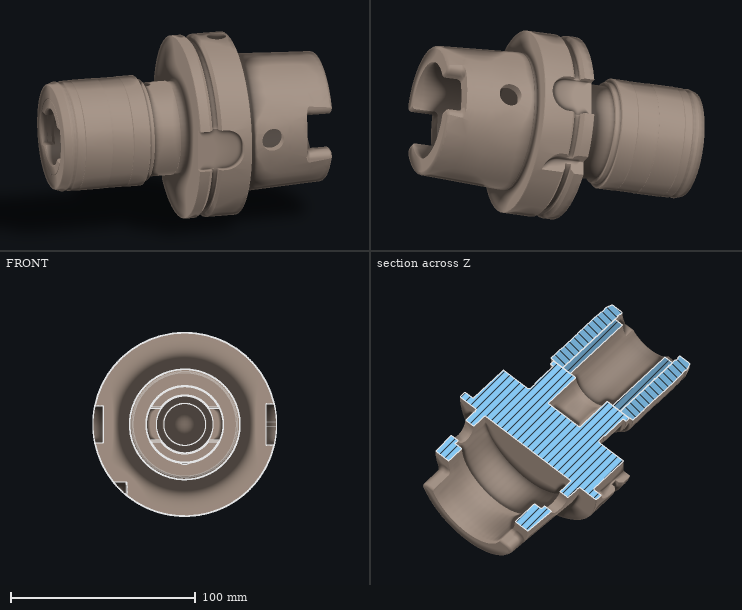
import cadquery as cq

taper_length = 49.9
taper_big_radius = 37.8
taper_rate = 0.05
taper_base = 2.8
relief_rear_y = 1.8
relief_front_y = 1.3
relief_radius = 37.5
taper_end_round = 1.6
cavity_radius = 26.5
chamber_radius = 31.5
chamber_rear_y = 24.0
cavity_floor = 0.0
cross_hole_radius = 6.1
cross_hole_y = 15.3

drive_slot_half_width = 10.0
drive_slot_flat = 32.4
drive_slot_edge_round = 4.0
drive_slot_floor_round = 2.2
shallow_slot_depth = 10.0
deep_slot_depth = 15.0

flange_radius = 49.99
flange_length = 29.0
flange_edge_chamfer = 0.3
groove_radius = 46.0
groove_rear_y = -18.1
groove_front_y = -21.6
groove_lip_depth = 1.8
groove_rear_lip_length = 1.5
groove_front_lip_length = 1.8

pocket_end_y = -4.3
pocket_width = 20.1
pocket_floor = 44.0
pocket_floor_round = 0.6
wide_pocket_width = 22.5
wide_pocket_corner = 10.0
notch_offset = 31.3

seat_radius = 5.4
seat_y = -6.7
seat_depth = 4.5
pilot_radius = 0.9
pilot_depth = 1.5

undercut_radius = 25.2
undercut_round = 1.6
neck_radius = 25.6
neck_start_y = -33.5
collar_radius = 27.9
collar_start_y = -48.7
shoulder_chamfer = 0.3
neck_hole_radius = 2.5
neck_hole_y = -46.5
bore_radius = 11.4
bore_depth = 22.5

overall_length = 149.9
nose_y = taper_length - overall_length
sleeve_start_y = -51.7
sleeve_radius = 30.1
sleeve_inset_radius = 30.0
seam_ys = [-61.2, -88.1]
seam_half_width = 0.3
seam_depth = 0.3
step_y = -73.2
ring_groove_y = -92.3
ring_groove_depth = 0.5
ring_groove_rear_slope = 0.7
ring_groove_floor_length = 1.2
ring_groove_front_slope = 1.3
nose_taper_y = -96.0
nose_taper_radius = 28.6
nose_round = 0.7
sleeve_bore_radius = 20.8
sleeve_bore_chamfer = 0.3
bore_groove_radius = 21.3
bore_groove_front = 1.8
bore_groove_length = 1.8
key_groove_radius = 3.0
key_groove_offset = 18.9
key_groove_length = 6.0

bush_bore_radius = 15.5
bush_bore_chamfer = 0.6
bush_rim_chamfer = 0.3
driver_slot_half_width = 8.5
driver_slot_depth = 6.0
driver_slot_chamfer = 0.9


def turned(profile):
    """Solid of revolution about Y from (radius, y) points."""
    return cq.Workplane("XY").polyline(profile).close().revolve(360, (0, 0), (0, 1))


def rod(radius, y_from, y_to, z=0.0):
    """Cylinder along Y."""
    return cq.Workplane("XZ", origin=(0, y_from, z)).circle(radius).extrude(y_from - y_to)


def holder_blank():
    """The holder's turned outside, with a rounded root where the neck meets the flange."""
    taper_end_radius = taper_big_radius - taper_rate * (taper_length - taper_base)
    lip_radius = flange_radius - groove_lip_depth
    front_y = -flange_length
    blank = turned([
        (0, taper_length),
        (taper_end_radius, taper_length),
        (taper_big_radius, taper_base),
        (taper_big_radius, relief_rear_y),
        (relief_radius, relief_rear_y),
        (relief_radius, relief_front_y),
        (taper_big_radius, relief_front_y),
        (taper_big_radius, 0),
        (flange_radius - flange_edge_chamfer, 0),
        (flange_radius, -flange_edge_chamfer),
        (flange_radius, groove_rear_y + groove_rear_lip_length),
        (lip_radius, groove_rear_y),
        (groove_radius, groove_rear_y),
        (groove_radius, groove_front_y),
        (lip_radius, groove_front_y),
        (flange_radius, groove_front_y - groove_front_lip_length),
        (flange_radius, front_y + flange_edge_chamfer),
        (flange_radius - flange_edge_chamfer, front_y),
        (undercut_radius, front_y),
        (undercut_radius, neck_start_y),
        (neck_radius - shoulder_chamfer, neck_start_y),
        (neck_radius, neck_start_y - shoulder_chamfer),
        (neck_radius, collar_start_y),
        (collar_radius - shoulder_chamfer, collar_start_y),
        (collar_radius, collar_start_y - shoulder_chamfer),
        (collar_radius, sleeve_start_y),
        (0, sleeve_start_y),
    ])
    root_half_box = undercut_radius + undercut_round / 2
    root = cq.selectors.BoxSelector(
        (-root_half_box, front_y - undercut_round / 2, -root_half_box),
        (root_half_box, front_y + undercut_round / 2, root_half_box),
        boundingbox=True,
    )
    return blank.edges(root).fillet(undercut_round)


def drive_slot(depth):
    """Cutter for one drive slot on the +X side, with flats beside it and a rounded floor."""
    half = drive_slot_half_width
    shoulder = half + drive_slot_edge_round
    inner = drive_slot_flat - drive_slot_edge_round
    outer = flange_radius
    cutter = (
        cq.Workplane("XZ", origin=(0, taper_length, 0))
        .moveTo(0, -half)
        .lineTo(inner, -half)
        .radiusArc((drive_slot_flat, -shoulder), drive_slot_edge_round)
        .lineTo(drive_slot_flat, -outer)
        .lineTo(outer, -outer)
        .lineTo(outer, outer)
        .lineTo(drive_slot_flat, outer)
        .lineTo(drive_slot_flat, shoulder)
        .radiusArc((inner, half), drive_slot_edge_round)
        .lineTo(0, half)
        .close()
        .extrude(depth)
    )
    return cutter.faces("<Y").edges("not >X").fillet(drive_slot_floor_round)


def flange_pocket(width, corner, floor, z_centre):
    """Cutter on the -X side, open to the front, whose rear corners are rounded."""
    half = width / 2
    bend_y = pocket_end_y - corner
    flat_half = half - corner
    outline = (
        cq.Workplane("YZ", origin=(-floor, 0, z_centre))
        .moveTo(-flange_length, -half)
        .lineTo(bend_y, -half)
        .tangentArcPoint((pocket_end_y, -flat_half), relative=False)
    )
    if flat_half > 0:
        outline = outline.lineTo(pocket_end_y, flat_half)
    return (
        outline.tangentArcPoint((bend_y, half), relative=False)
        .lineTo(-flange_length, half)
        .close()
        .extrude(floor - flange_radius)
    )


def rounded_floor(pocket):
    """The pocket cutter with its floor rounded into its walls."""
    return pocket.faces(">X").edges("not <Y").fillet(pocket_floor_round)


def make_holder():
    holder = holder_blank()

    shallow_slot = drive_slot(shallow_slot_depth).mirror("YZ")
    holder = holder.cut(shallow_slot).cut(drive_slot(deep_slot_depth))
    holder = holder.faces(">Y").edges().fillet(taper_end_round)

    cross_hole = (
        cq.Workplane("YZ").center(cross_hole_y, 0).circle(cross_hole_radius).extrude(flange_radius, both=True)
    )
    holder = holder.cut(rod(cavity_radius, taper_length, cavity_floor))
    holder = holder.cut(rod(chamber_radius, chamber_rear_y, cavity_floor)).cut(cross_hole)

    pocket = rounded_floor(flange_pocket(pocket_width, pocket_width / 2, pocket_floor, 0))
    wide_pocket = flange_pocket(wide_pocket_width, wide_pocket_corner, pocket_floor, 0).mirror("YZ")
    notch_centre = -notch_offset - pocket_width / 2
    notch = rounded_floor(flange_pocket(pocket_width, pocket_width / 2, notch_offset, notch_centre))
    holder = holder.cut(pocket).cut(wide_pocket).cut(notch)

    seat_floor = flange_radius - seat_depth
    seat = cq.Workplane("XY", origin=(0, seat_y, seat_floor)).circle(seat_radius).extrude(seat_depth)
    pilot = cq.Workplane("XY", origin=(0, seat_y, seat_floor)).circle(pilot_radius).extrude(-pilot_depth)
    holder = holder.cut(seat).cut(pilot)

    holder = holder.cut(rod(bore_radius, sleeve_start_y + bore_depth, sleeve_start_y))
    neck_hole = cq.Workplane("XY", origin=(0, neck_hole_y, 0)).circle(neck_hole_radius).extrude(collar_radius)
    return holder.cut(neck_hole)


def make_sleeve():
    groove_rear_y = ring_groove_y - ring_groove_rear_slope
    ring_floor_front_y = groove_rear_y - ring_groove_floor_length
    bore_groove_front_y = nose_y + bore_groove_front
    bore_groove_rear_y = bore_groove_front_y + bore_groove_length
    groove_floor = sleeve_inset_radius - ring_groove_depth
    sleeve = turned([
        (sleeve_bore_radius, sleeve_start_y),
        (sleeve_radius - shoulder_chamfer, sleeve_start_y),
        (sleeve_radius, sleeve_start_y - shoulder_chamfer),
        (sleeve_radius, seam_ys[0]),
        (sleeve_inset_radius, seam_ys[0]),
        (sleeve_inset_radius, step_y),
        (sleeve_radius, step_y),
        (sleeve_radius, seam_ys[1]),
        (sleeve_inset_radius, seam_ys[1]),
        (sleeve_inset_radius, ring_groove_y),
        (groove_floor, groove_rear_y),
        (groove_floor, ring_floor_front_y),
        (sleeve_inset_radius, ring_floor_front_y - ring_groove_front_slope),
        (sleeve_inset_radius, nose_taper_y),
        (nose_taper_radius, nose_y),
        (sleeve_bore_radius + sleeve_bore_chamfer, nose_y),
        (sleeve_bore_radius, nose_y + sleeve_bore_chamfer),
        (sleeve_bore_radius, bore_groove_front_y),
        (bore_groove_radius, bore_groove_front_y),
        (bore_groove_radius, bore_groove_rear_y),
        (sleeve_bore_radius, bore_groove_rear_y),
    ])
    sleeve = sleeve.faces("<Y").edges("%CIRCLE").edges(cq.selectors.RadiusNthSelector(-1)).fillet(nose_round)
    for seam_y in seam_ys:
        seam = turned([
            (sleeve_radius - seam_depth, seam_y),
            (sleeve_radius, seam_y + seam_half_width),
            (sleeve_radius, seam_y - seam_half_width),
        ])
        sleeve = sleeve.cut(seam)
    key_groove = rod(key_groove_radius, nose_y + key_groove_length, nose_y, -key_groove_offset)
    return sleeve.cut(key_groove)


def make_bush():
    bush = turned([
        (bush_bore_radius, sleeve_start_y),
        (sleeve_bore_radius, sleeve_start_y),
        (sleeve_bore_radius, nose_y + bush_rim_chamfer),
        (sleeve_bore_radius - bush_rim_chamfer, nose_y),
        (bush_bore_radius + bush_bore_chamfer, nose_y),
        (bush_bore_radius, nose_y + bush_bore_chamfer),
    ])
    half = driver_slot_half_width
    wide = half + driver_slot_chamfer
    floor_y = nose_y + driver_slot_depth
    chamfer_y = nose_y + driver_slot_chamfer
    slots = (
        cq.Workplane("YZ")
        .polyline([(floor_y, -half), (chamfer_y, -half), (nose_y, -wide),
                   (nose_y, wide), (chamfer_y, half), (floor_y, half)])
        .close()
        .extrude(sleeve_radius, both=True)
    )
    return bush.cut(slots)


holder = make_holder()
sleeve = make_sleeve()
bush = make_bush()

result = cq.Compound.makeCompound([holder.val(), sleeve.val(), bush.val()])